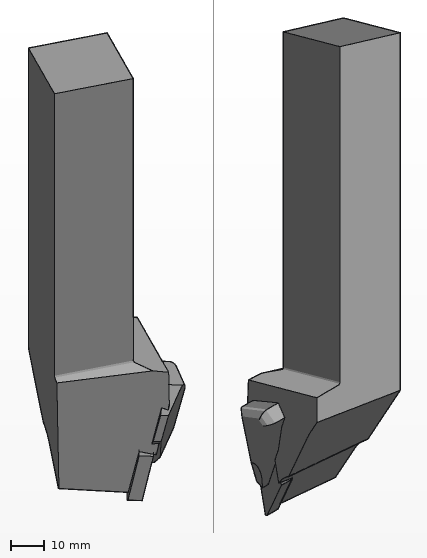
import cadquery as cq
import math

length = 151.4
shank_side = 25.0
head_depth = 34.5
step_height = 46.6
step_slope = 15.0
step_fillet = 0.9
margin = 15.1

relief_x = 0.09
relief_z = -0.23
end_slope = 1.25
end_height = 40.4
notch_start_x = 14.2
notch_middle = (17.1, 21.3)
notch_end = (19.8, 18.9)
side_top = (27.2, 46.5)
side_lean = 0.0522
head_nose_radius = 0.5

tilt = 14.5
tip_y = 25.3
rake_rise = 0.9

insert_edge = 16.6
insert_thickness = 4.7
insert_corner = 35.0
flank_angle = 3.3
nose_radius = 0.5
nose_x = 32.0
pocket_edge = 2 * insert_edge

clamp_outline = [
    (31.3, 20.9),
    (31.3, 30.3),
    (28.0, 39.2),
    (17.0, 40.4),
    (14.0, 36.5),
    (19.0, 25.1),
    (28.2, 11.2),
]
clamp_top = 7.0
clamp_base = -1.4
clamp_fillet = 3.3
clamp_chamfer = 5.8
ramp_start = (22.2, 7.0)
ramp_end = (10.6, 2.3)

tilt_sin = math.sin(math.radians(tilt))
tilt_cos = math.cos(math.radians(tilt))


def cutting_plane(height):
    """Plane parallel to the insert top; local Y runs up the tilt, local Z points into the head."""
    origin = (0, tip_y + height * tilt_cos, -height * tilt_sin)
    return cq.Workplane(cq.Plane(origin, (1, 0, 0), (0, -tilt_cos, tilt_sin)))


def along(start, angle, distance):
    """Point at a distance from start, turned from local Y towards -X by the angle in degrees."""
    turn = math.radians(angle)
    return (start[0] - distance * math.sin(turn), start[1] + distance * math.cos(turn))


def stepped_profile(plane, width):
    """Outline of the shank and its sloping shoulder, up to the given width."""
    shoulder = step_height - (width - shank_side) * math.tan(math.radians(step_slope))
    return (
        cq.Workplane(plane)
        .polyline([
            (0, -margin),
            (width, -margin),
            (width, shoulder),
            (shank_side, step_height),
            (shank_side, length),
            (0, length),
        ])
        .close()
    )


def make_shank_and_head():
    """Shank with a sloping shoulder on its back and right, the two slopes meeting in a mitre."""
    head_width = shank_side + margin
    back = stepped_profile("YZ", head_depth).extrude(head_width)
    back_corner = (head_width / 2, shank_side, step_height)
    right = stepped_profile("XZ", head_width).extrude(-head_depth)
    right_corner = (shank_side, head_depth / 2, step_height)
    return fillet_edge(back, back_corner).intersect(fillet_edge(right, right_corner))


def fillet_edge(body, place):
    """Round the inner edge where the shank meets the shoulder."""
    return body.edges(cq.selectors.NearestToPointSelector(place)).fillet(step_fillet)


def leaning_prism():
    """Slanted end and right flank of the head, swept along the relief direction."""
    notch_start = (notch_start_x, end_height - end_slope * notch_start_x)
    flank_at_zero = side_top[0] + side_lean * side_top[1]
    face_at_zero = notch_end[1] + end_slope * notch_end[0]
    tip_x = (flank_at_zero - side_lean * face_at_zero) / (1 - side_lean * end_slope)
    tip_z = face_at_zero - end_slope * tip_x
    top = length + margin
    flank_top = step_height - relief_z * head_depth
    clear_x = shank_side + margin
    outline = (
        cq.Workplane("XZ")
        .moveTo(-margin, end_height + end_slope * margin)
        .lineTo(*notch_start)
        .threePointArc(notch_middle, notch_end)
        .lineTo(tip_x, tip_z)
        .lineTo(flank_at_zero - side_lean * flank_top, flank_top)
        .lineTo(clear_x, flank_top)
        .lineTo(clear_x, top)
        .lineTo(-margin, top)
        .close()
    )
    sweep = cq.Vector(relief_x, 1, relief_z) * head_depth
    prism = cq.Workplane(cq.Solid.extrudeLinear(outline.val(), [], sweep))
    nose = cq.selectors.NearestToPointSelector(
        (tip_x + sweep.x / 2, sweep.y / 2, tip_z + sweep.z / 2)
    )
    return prism.edges(nose).fillet(head_nose_radius)


def rhombus(far_corner, edge):
    """Insert-shaped outline that reaches down from its far corner."""
    left = along(far_corner, flank_angle, -edge)
    right = along(far_corner, flank_angle + insert_corner, -edge)
    tip = along(left, flank_angle + insert_corner, -edge)
    return [far_corner, left, tip, right]


def insert_far_corner():
    """Far corner of the rhombus whose rounded nose just touches local Y = 0."""
    bisector = flank_angle + insert_corner / 2
    half_corner = math.radians(insert_corner / 2)
    tip = along((nose_x, nose_radius), bisector, -nose_radius / math.sin(half_corner))
    return along(tip, bisector, 2 * insert_edge * math.cos(half_corner))


def make_insert():
    blank = (
        cutting_plane(0)
        .polyline(rhombus(insert_far_corner(), insert_edge))
        .close()
        .extrude(insert_thickness)
    )
    acute = cutting_plane(0).plane.toWorldCoords((nose_x, 0, insert_thickness / 2))
    return blank.edges(cq.selectors.NearestToPointSelector(acute.toTuple())).fillet(nose_radius)


def make_clamp_block():
    """Rounded block that stands on the head and covers the rear of the insert."""
    block = (
        cutting_plane(clamp_top)
        .polyline(clamp_outline)
        .close()
        .extrude(clamp_top - clamp_base)
        .faces(cq.selectors.DirectionMinMaxSelector(cq.Vector(0, tilt_cos, -tilt_sin)))
        .edges()
        .fillet(clamp_fillet)
    )
    return block.cut(clamp_ramp()).cut(clamp_side_chamfer())


def clamp_ramp():
    """Wedge removed from the front of the clamp; sketched across X on the tilted axes."""
    side = cq.Plane((0, tip_y, 0), (0, tilt_sin, tilt_cos), (-1, 0, 0))
    slope = (ramp_start[1] - ramp_end[1]) / (ramp_start[0] - ramp_end[0])
    upper = (ramp_start[0] + margin, ramp_start[1] + slope * margin)
    lower = (ramp_end[0] - margin, ramp_end[1] - slope * margin)
    return (
        cq.Workplane(side)
        .polyline([upper, lower, (lower[0], upper[1])])
        .close()
        .extrude(2 * shank_side, both=True)
    )


def clamp_side_chamfer():
    """45 degree wedge removed along the right-hand top edge of the clamp."""
    clamp_right = max(x for x, distance in clamp_outline)
    corner = (clamp_right, clamp_top)
    end = cq.Plane((0, tip_y, 0), (1, 0, 0), (0, tilt_sin, tilt_cos))
    reach = clamp_chamfer + margin
    return (
        cq.Workplane(end)
        .polyline([
            (corner[0] - reach, corner[1] + margin),
            (corner[0] + margin, corner[1] - reach),
            (corner[0] + margin, corner[1] + margin),
        ])
        .close()
        .extrude(2 * step_height, both=True)
    )


def make_holder(insert):
    body = make_shank_and_head().intersect(leaning_prism())

    above_rake = cutting_plane(rake_rise).rect(2 * length, 2 * step_height)
    rake_cut = above_rake.extrude(-margin)
    body = body.cut(rake_cut)

    pocket = (
        cutting_plane(rake_rise + margin)
        .polyline(rhombus(insert_far_corner(), pocket_edge))
        .close()
        .extrude(rake_rise + margin + insert_thickness)
    )
    return body.cut(pocket).union(make_clamp_block()).cut(insert)


insert = make_insert()
holder = make_holder(insert)
result = cq.Compound.makeCompound([holder.val(), insert.val()])